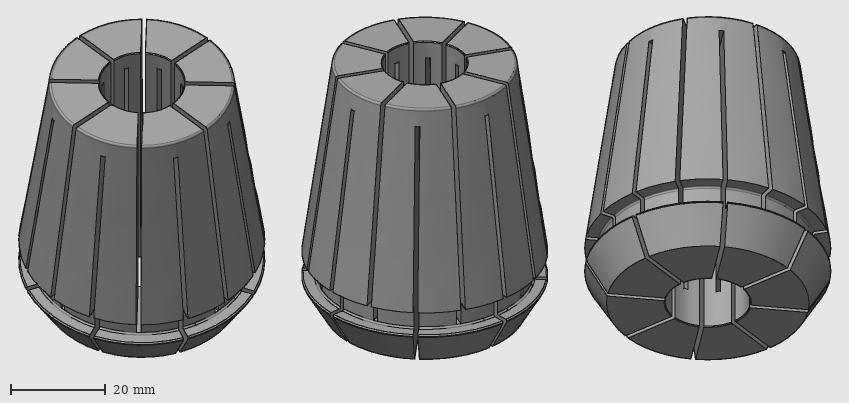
import cadquery as cq
import math

total_height = 60.0
max_radius = 26.0
bore_radius = 9.0
bore_edge_chamfer = 0.2

taper_half_angle = 8.0
taper_start_height = 14.0
top_edge_radius = 0.5

nose_half_angle = 30.0
flange_edge_height = 8.0
flange_top_height = 8.5
flange_edge_chamfer = 0.3
groove_radius = 23.0
groove_corner_radius = 0.4

slits_per_end = 8
slit_width = 1.0
base_slit_top = 56.0
top_slit_floor = flange_top_height + groove_corner_radius

nose_radius = max_radius - flange_edge_height * math.tan(math.radians(nose_half_angle))
taper_height = total_height - taper_start_height
top_radius = max_radius - taper_height * math.tan(math.radians(taper_half_angle))


def make_body():
    """Revolved body: chamfered bore, nose cone, flange, groove and long taper."""
    profile = (
        cq.Workplane("XZ")
        .moveTo(bore_radius + bore_edge_chamfer, 0)
        .lineTo(nose_radius, 0)
        .lineTo(max_radius, flange_edge_height)
        .lineTo(max_radius, flange_top_height - flange_edge_chamfer)
        .lineTo(max_radius - flange_edge_chamfer, flange_top_height)
        .lineTo(groove_radius + groove_corner_radius, flange_top_height)
        .radiusArc((groove_radius, flange_top_height + groove_corner_radius), groove_corner_radius)
        .lineTo(groove_radius, taper_start_height - groove_corner_radius)
        .radiusArc((groove_radius + groove_corner_radius, taper_start_height), groove_corner_radius)
        .lineTo(max_radius, taper_start_height)
        .lineTo(top_radius, total_height)
        .lineTo(bore_radius + bore_edge_chamfer, total_height)
        .lineTo(bore_radius, total_height - bore_edge_chamfer)
        .lineTo(bore_radius, bore_edge_chamfer)
        .close()
    )
    body = profile.revolve(360, (0, 0, 0), (0, 1, 0))
    top_rim = body.faces(">Z").edges(cq.selectors.RadiusNthSelector(-1))
    return top_rim.fillet(top_edge_radius)


def make_slits(bottom, top, first_angle):
    """Ring of radial slits between two heights, each reaching from the axis past the rim."""
    slit_length = max_radius + slit_width
    slit = cq.Workplane("XY").box(slit_length, slit_width, top - bottom, centered=(False, True, False))
    slit = slit.translate((0, 0, bottom))
    pitch = 360.0 / slits_per_end
    slits = slit.rotate((0, 0, 0), (0, 0, 1), first_angle)
    for index in range(1, slits_per_end):
        slits = slits.union(slit.rotate((0, 0, 0), (0, 0, 1), first_angle + index * pitch))
    return slits


half_pitch = 180.0 / slits_per_end
base_slits = make_slits(0, base_slit_top, 0)
top_slits = make_slits(top_slit_floor, total_height, half_pitch)

result = make_body().cut(base_slits).cut(top_slits)